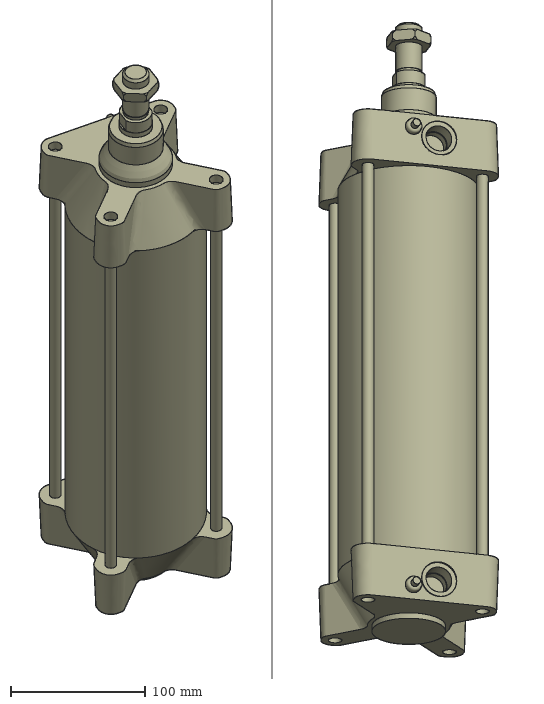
import cadquery as cq
import math

TOTAL_LENGTH = 483.0
FOOT_HEIGHT = 4.5
HEAD_HEIGHT = 40.5
FRONT_HEAD_TOP = 392.0
NOSE_TOP = 429.0
REAR_HEAD_TOP = FOOT_HEIGHT + HEAD_HEIGHT
FRONT_HEAD_BOTTOM = FRONT_HEAD_TOP - HEAD_HEIGHT

TOLERANCE = 0.05

HEAD_WIDTH = 113.0
DRAFT_INSET = 1.5
DRAFT_ANGLE = math.degrees(math.atan(DRAFT_INSET / HEAD_HEIGHT))
TIE_ROD_OFFSET = 44.5
ARM_HALF_WIDTH = 12.5
ARM_EDGE_RADIUS = 7.2
CONE_END_RADIUS = 31.0
CONE_FILLET = 8.0

BARREL_DIAMETER = 106.0
TIE_ROD_DIAMETER = 8.5
TIE_HOLE_DIAMETER = 10.0
TIE_HOLE_DEPTH = 7.2

SIDE_FACE_X = -HEAD_WIDTH / 2
PORT_Y = -7.5
PORT_DEPTH_FROM_END = 18.0
PORT_ENTRY_DIAMETER = 20.0
PORT_ENTRY_DEPTH = 14.5
PORT_DIAMETER = 19.0
PORT_RIM_DIAMETER = 27.0
PORT_RIM_DEPTH = 2.0
PORT_DEPTH = 21.5
SCREW_Y = 12.5
SCREW_DEPTH_FROM_END = 11.0
SCREW_TIP_X = -65.5
SCREW_DIAMETER = 6.0
COLLAR_DIAMETER = 12.0
COLLAR_LENGTH = 3.5
COLLAR_ROUNDING = 2.0

BOSS_DIAMETER = 55.0
NOSE_DIAMETER = 41.0
NOSE_CHAMFER = 1.0
NOSE_CHAMFER_HEIGHT = 3.0
FLARE_TOP = 408.5
FLARE_UPPER_KINK_Z = 404.5
FLARE_UPPER_KINK_RADIUS = 23.5
FLARE_LOWER_KINK_Z = 400.0
FLARE_LOWER_KINK_RADIUS = 26.5
FLARE_BOTTOM = 397.0

ROD_DIAMETER = 25.0
THREAD_DIAMETER = 20.0
THREAD_BOTTOM = 446.5
THREAD_CHAMFER = 2.0
UNDERCUT_DIAMETER = 19.0
SHOULDER_Z = 443.5
SPANNER_COLLAR_DIAMETER = 24.5
SPANNER_WIDTH = 22.0
SPANNER_BOTTOM = 433.3

NUT_ACROSS_FLATS = 30.0
NUT_BOTTOM = 466.5
NUT_THICKNESS = 8.0
NUT_CHAMFER = 1.0


def cylinder(diameter, bottom, top):
    return cq.Workplane("XY").workplane(offset=bottom).circle(diameter / 2).extrude(top - bottom)


def tie_rod_points():
    return [(x, y) for x in (-TIE_ROD_OFFSET, TIE_ROD_OFFSET) for y in (-TIE_ROD_OFFSET, TIE_ROD_OFFSET)]


def head_block():
    """Drafted block with four diagonal arms, left closed between the two arms on its -X side."""
    half = HEAD_WIDTH / 2
    notch_apex = ARM_HALF_WIDTH * math.sqrt(2)
    notch_edge = half - notch_apex
    outline = [
        (-half, -half), (-notch_edge, -half), (0, -notch_apex), (notch_edge, -half),
        (half, -half), (half, -notch_edge), (notch_apex, 0), (half, notch_edge),
        (half, half), (notch_edge, half), (0, notch_apex), (-notch_edge, half), (-half, half),
    ]
    corners_path = [cq.Vector(x, y, 0) for x, y in outline]
    face = cq.Face.makeFromWires(cq.Wire.makePolygon(corners_path, close=True))

    def vertices_at(near, far):
        """Outline vertices with these two distances from the centre planes, in either order."""
        return [
            v for v in face.Vertices()
            if math.dist(sorted((abs(v.X), abs(v.Y))), (near, far)) < TOLERANCE
        ]

    face = face.fillet2D(half - TIE_ROD_OFFSET, vertices_at(half, half))
    face = face.fillet2D(ARM_EDGE_RADIUS, vertices_at(notch_edge, half))
    return cq.Workplane("XY").placeSketch(cq.Sketch().face(face)).extrude(HEAD_HEIGHT, taper=DRAFT_ANGLE)


def head_cone():
    return (
        cq.Workplane("XZ")
        .polyline([(0, 0), (BARREL_DIAMETER / 2, 0), (CONE_END_RADIUS, HEAD_HEIGHT), (0, HEAD_HEIGHT)])
        .close()
        .revolve(360, (0, 0), (0, 1))
    )


def on_side_face(y, depth_from_end):
    """Workplane on the head's -X face, facing outward."""
    origin = (SIDE_FACE_X, y, HEAD_HEIGHT - depth_from_end)
    return cq.Workplane(cq.Plane(origin=origin, xDir=(0, -1, 0), normal=(-1, 0, 0)))


def cushion_screw():
    collar = (
        on_side_face(SCREW_Y, SCREW_DEPTH_FROM_END)
        .workplane(offset=-DRAFT_INSET)
        .circle(COLLAR_DIAMETER / 2)
        .extrude(COLLAR_LENGTH + DRAFT_INSET)
        .faces("<X")
        .edges()
        .fillet(COLLAR_ROUNDING)
    )
    screw = (
        on_side_face(SCREW_Y, SCREW_DEPTH_FROM_END)
        .circle(SCREW_DIAMETER / 2)
        .extrude(SIDE_FACE_X - SCREW_TIP_X)
    )
    return collar.union(screw)


def head():
    """End head standing on its barrel side, with its outer end face up."""
    body = head_block().union(head_cone())
    seams = [e for e in body.edges().vals() if e.geomType() in ("HYPERBOLA", "BSPLINE")]
    body = body.newObject(seams).fillet(CONE_FILLET)
    port = on_side_face(PORT_Y, PORT_DEPTH_FROM_END)
    port_steps = [
        (PORT_RIM_DIAMETER, PORT_RIM_DEPTH),
        (PORT_ENTRY_DIAMETER, PORT_ENTRY_DEPTH),
        (PORT_DIAMETER, PORT_DEPTH),
    ]
    for diameter, depth in port_steps:
        body = body.cut(port.circle(diameter / 2).extrude(-depth))
    holes = (
        cq.Workplane("XY")
        .workplane(offset=HEAD_HEIGHT - TIE_HOLE_DEPTH)
        .pushPoints(tie_rod_points())
        .circle(TIE_HOLE_DIAMETER / 2)
        .extrude(TIE_HOLE_DEPTH)
    )
    return body.cut(holes).union(cushion_screw())


def nose():
    nose_radius = NOSE_DIAMETER / 2
    boss_radius = BOSS_DIAMETER / 2
    profile = [
        (0, FRONT_HEAD_TOP),
        (boss_radius, FRONT_HEAD_TOP),
        (boss_radius, FLARE_BOTTOM),
        (FLARE_LOWER_KINK_RADIUS, FLARE_LOWER_KINK_Z),
        (FLARE_UPPER_KINK_RADIUS, FLARE_UPPER_KINK_Z),
        (nose_radius, FLARE_TOP),
        (nose_radius, NOSE_TOP - NOSE_CHAMFER_HEIGHT),
        (nose_radius - NOSE_CHAMFER, NOSE_TOP),
        (0, NOSE_TOP),
    ]
    return cq.Workplane("XZ").polyline(profile).close().revolve(360, (0, 0), (0, 1))


def make_housing():
    one_head = head()
    body = cylinder(BARREL_DIAMETER, REAR_HEAD_TOP, FRONT_HEAD_BOTTOM)
    tie_rods = (
        cq.Workplane("XY")
        .workplane(offset=REAR_HEAD_TOP)
        .pushPoints(tie_rod_points())
        .circle(TIE_ROD_DIAMETER / 2)
        .extrude(FRONT_HEAD_BOTTOM - REAR_HEAD_TOP)
    )
    body = body.union(one_head.translate((0, 0, FRONT_HEAD_BOTTOM)))
    body = body.union(one_head.mirror("XY").translate((0, 0, REAR_HEAD_TOP)))
    body = body.union(tie_rods).union(nose()).union(cylinder(BOSS_DIAMETER, 0, FOOT_HEIGHT))
    return body.cut(cylinder(ROD_DIAMETER, FRONT_HEAD_BOTTOM, NOSE_TOP))


def make_piston_rod():
    shank = cylinder(ROD_DIAMETER, FRONT_HEAD_BOTTOM, SPANNER_BOTTOM)
    flat_band = (
        cq.Workplane("XY")
        .workplane(offset=SPANNER_BOTTOM)
        .rect(ROD_DIAMETER, SPANNER_WIDTH)
        .extrude(SHOULDER_Z - SPANNER_BOTTOM)
    )
    spanner_collar = cylinder(SPANNER_COLLAR_DIAMETER, SPANNER_BOTTOM, SHOULDER_Z).intersect(flat_band)
    undercut = cylinder(UNDERCUT_DIAMETER, SHOULDER_Z, THREAD_BOTTOM)
    thread = cylinder(THREAD_DIAMETER, THREAD_BOTTOM, TOTAL_LENGTH).faces(">Z").chamfer(THREAD_CHAMFER)
    return shank.union(spanner_collar).union(undercut).union(thread)


def make_nut():
    corner_diameter = NUT_ACROSS_FLATS / math.cos(math.pi / 6)
    nut = (
        cq.Workplane("XY")
        .workplane(offset=NUT_BOTTOM)
        .polygon(6, corner_diameter)
        .extrude(NUT_THICKNESS)
    )
    bevel = (
        cylinder(corner_diameter, NUT_BOTTOM, NUT_BOTTOM + NUT_THICKNESS)
        .faces("<Z or >Z")
        .chamfer((corner_diameter - NUT_ACROSS_FLATS) / 2, NUT_CHAMFER)
    )
    bore = cylinder(THREAD_DIAMETER, NUT_BOTTOM, NUT_BOTTOM + NUT_THICKNESS)
    return nut.intersect(bevel).cut(bore)


housing = make_housing()
piston_rod = make_piston_rod()
nut = make_nut()
result = cq.Compound.makeCompound([housing.val(), piston_rod.val(), nut.val()])